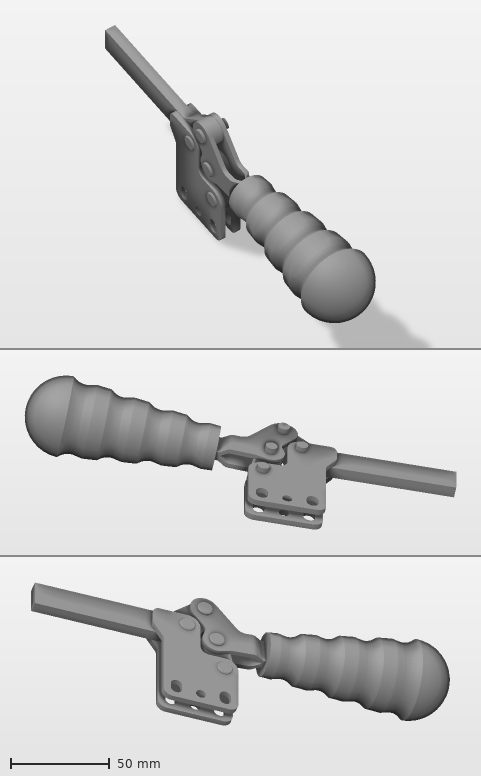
import math

import cadquery as cq


BAR_PIVOT = (-7.2, 53.3)
TOP_PIVOT = (2.2, 67.8)
LEVER_PIVOT = (8.6, 47.8)
BASE_PIVOT = (12.7, 28.4)

GAP_HALF = 3.0
BASE_OUTER = 6.0
LEVER_OUTER = 5.5
HEAD_TIP = 7.0
PIN_TIP = 9.1

BASE_HALF_LENGTH = 20.0
BASE_CORNER_RADIUS = 5.0
BASE_TOP_RADIUS = 7.0
BASE_NOTCH_RADIUS = 4.5
BASE_FRONT_X = -25.5
BASE_FRONT_RADIUS = 3.5
BASE_BEND_RADIUS = 3.0
BASE_UPPER_BEND_Z = 50.2
BASE_LOWER_BEND_Z = 39.9
SLOT_X = 13.0
SLOT_Z = 7.6
SLOT_LENGTH = 8.6
SLOT_WIDTH = 6.0
HOLE_Z = 6.2
HOLE_DIAMETER = 5.2

BAR_TIP_X = -87.47
BAR_HALF_HEIGHT = 7.35
BAR_TOP_RADIUS = 7.4
GUSSET_FILLET = 5.0
GUSSET_FILLET_X = -18.9
LINK_RADIUS = 7.0

PIN_DIAMETER = 6.0
HEAD_DIAMETER = 8.2
HEAD_CHAMFER = 0.5

BALL_RADIUS = 20.92
BALL_CENTRE_X = 112.6
BALL_CENTRE_Z = 58.09
HANDLE_TILT = 5.0
RING_COUNT = 4
RING_PITCH = 20.0
RING_GROWTH = 2.4
HANDLE_START_U = -77.6
HANDLE_START_RADIUS = 11.4
FIRST_CREST_U = -72.0
FIRST_CREST_RADIUS = 11.8
CREST_TO_FLANK = 5.0
FLANK_DROP = 1.0
CREST_TO_VALLEY = 8.0
VALLEY_DROP = 0.7
CREST_TO_LIP = 11.5
LIP_START_RISE = 1.1
LIP_WIDTH = 1.0
LIP_END_RISE = 1.75
CREST_WIDTH = 0.8
CREST_ROUNDING = 0.05

LEVER_TOP_RADIUS = 7.75
LEVER_PIVOT_RADIUS = 7.45
LEVER_FRONT_FILLET = 4.0
LEVER_FRONT_FILLET_CENTRE = (-1.4, 53.7)
LEVER_LOWER_FILLET = 5.0
LEVER_LOWER_FILLET_U = -97.0
LEVER_UPPER_FILLET = 6.0
LEVER_UPPER_FILLET_U = -88.0
NECK_HALF_HEIGHT = 7.0
BEND_START_U = -85.2
BEND_MID_U = -82.5
BEND_MID_INSET = 0.9
BEND_END_U = -79.3
NECK_END_U = HANDLE_START_U + 1.0


def outline(circles, depth_from, depth_to):
    """Solid between two Y positions; its outline runs counter-clockwise around
    circles (x, z, radius) joined by tangent lines.

    A positive radius rounds an outside corner, a negative one an inside corner,
    and zero leaves a sharp corner.
    """
    count = len(circles)
    normals = []
    for i in range(count):
        x1, z1, r1 = circles[i]
        x2, z2, r2 = circles[(i + 1) % count]
        length = math.hypot(x2 - x1, z2 - z1)
        normals.append(math.atan2(z2 - z1, x2 - x1) + math.acos((r2 - r1) / length))

    def point(circle, normal):
        x, z, radius = circle
        return (x - radius * math.cos(normal), z - radius * math.sin(normal))

    sketch = cq.Workplane("XZ", origin=(0, depth_to, 0))
    sketch = sketch.moveTo(*point(circles[0], normals[0]))
    for i in range(1, count + 1):
        circle = circles[i % count]
        arrive = normals[i - 1]
        leave = normals[i % count]
        sketch = sketch.lineTo(*point(circle, arrive))
        radius = circle[2]
        if radius != 0:
            sense = math.copysign(1, radius)
            turn = sense * ((sense * (leave - arrive)) % (2 * math.pi))
            sketch = sketch.threePointArc(point(circle, arrive + turn / 2), point(circle, leave))
    return sketch.close().extrude(depth_to - depth_from)


def from_handle_frame(u, v):
    """X and Z of a point given along (u) and across (v) the handle axis."""
    tilt = math.radians(HANDLE_TILT)
    x = BALL_CENTRE_X + u * math.cos(tilt) - v * math.sin(tilt)
    z = BALL_CENTRE_Z + u * math.sin(tilt) + v * math.cos(tilt)
    return x, z


def place_in_clamp(handle_shape):
    """Move a shape from the handle's frame to its tilted place in the clamp."""
    tilted = handle_shape.rotate((0, 0, 0), (0, 1, 0), -HANDLE_TILT)
    return tilted.translate((BALL_CENTRE_X, 0, BALL_CENTRE_Z))


def make_base():
    """Two identical plates with mounting slots and a round hole."""
    corner_x = BASE_HALF_LENGTH - BASE_CORNER_RADIUS
    pivot_radius = BASE_HALF_LENGTH - BASE_PIVOT[0]
    notch_x = BAR_PIVOT[0] + BASE_TOP_RADIUS + BASE_NOTCH_RADIUS
    notch_z = BASE_PIVOT[1] + pivot_radius + BASE_NOTCH_RADIUS
    top_z = BAR_PIVOT[1] + BASE_TOP_RADIUS
    circles = [
        (-corner_x, BASE_CORNER_RADIUS, BASE_CORNER_RADIUS),
        (corner_x, BASE_CORNER_RADIUS, BASE_CORNER_RADIUS),
        (*BASE_PIVOT, pivot_radius),
        (notch_x, notch_z, -BASE_NOTCH_RADIUS),
        (*BAR_PIVOT, BASE_TOP_RADIUS),
        (BASE_FRONT_X + BASE_FRONT_RADIUS, top_z - BASE_FRONT_RADIUS, BASE_FRONT_RADIUS),
        (BASE_FRONT_X + BASE_BEND_RADIUS, BASE_UPPER_BEND_Z, BASE_BEND_RADIUS),
        (-BASE_HALF_LENGTH - BASE_BEND_RADIUS, BASE_LOWER_BEND_Z, -BASE_BEND_RADIUS),
    ]
    front = outline(circles, -BASE_OUTER, -GAP_HALF)
    back = outline(circles, GAP_HALF, BASE_OUTER)
    through = cq.Workplane("XZ", origin=(0, BASE_OUTER, 0))
    slots = (
        through.pushPoints([(-SLOT_X, SLOT_Z), (SLOT_X, SLOT_Z)])
        .slot2D(SLOT_LENGTH, SLOT_WIDTH, 90)
        .extrude(2 * BASE_OUTER)
    )
    hole = through.center(0, HOLE_Z).circle(HOLE_DIAMETER / 2).extrude(2 * BASE_OUTER)
    return front.union(back).cut(slots).cut(hole)


def make_bar():
    """Clamping bar with a gusset rising to the top pivot."""
    bottom_z = BAR_PIVOT[1] - BAR_HALF_HEIGHT
    top_z = BAR_PIVOT[1] + BAR_HALF_HEIGHT
    circles = [
        (BAR_TIP_X, bottom_z, 0),
        (*BAR_PIVOT, BAR_HALF_HEIGHT),
        (*TOP_PIVOT, BAR_TOP_RADIUS),
        (GUSSET_FILLET_X, top_z + GUSSET_FILLET, -GUSSET_FILLET),
        (BAR_TIP_X, top_z, 0),
    ]
    return outline(circles, -GAP_HALF, GAP_HALF)


def make_link():
    """Link between the base and the lever."""
    return outline([(*BASE_PIVOT, LINK_RADIUS), (*LEVER_PIVOT, LINK_RADIUS)], -GAP_HALF, GAP_HALF)


def make_lever():
    """Two side plates that bend together into a flat neck inside the handle."""
    lower_fillet_v = -NECK_HALF_HEIGHT - LEVER_LOWER_FILLET
    upper_fillet_v = NECK_HALF_HEIGHT + LEVER_UPPER_FILLET
    circles = [
        (*LEVER_PIVOT, LEVER_PIVOT_RADIUS),
        (*from_handle_frame(LEVER_LOWER_FILLET_U, lower_fillet_v), -LEVER_LOWER_FILLET),
        (*from_handle_frame(NECK_END_U, -NECK_HALF_HEIGHT), 0),
        (*from_handle_frame(NECK_END_U, NECK_HALF_HEIGHT), 0),
        (*from_handle_frame(LEVER_UPPER_FILLET_U, upper_fillet_v), -LEVER_UPPER_FILLET),
        (*TOP_PIVOT, LEVER_TOP_RADIUS),
        (*LEVER_FRONT_FILLET_CENTRE, -LEVER_FRONT_FILLET),
    ]
    profile = outline(circles, -LEVER_OUTER, LEVER_OUTER)

    thickness = LEVER_OUTER - GAP_HALF
    far_u = BAR_TIP_X - BALL_CENTRE_X
    plan_height = 4 * BALL_RADIUS
    plan = cq.Workplane("XY", origin=(0, 0, -plan_height / 2))
    envelope = (
        plan.moveTo(far_u, -LEVER_OUTER)
        .lineTo(BEND_START_U, -LEVER_OUTER)
        .tangentArcPoint((BEND_MID_U, -LEVER_OUTER + BEND_MID_INSET), relative=False)
        .lineTo(BEND_END_U, -thickness)
        .lineTo(NECK_END_U, -thickness)
        .lineTo(NECK_END_U, 0)
        .lineTo(far_u, 0)
        .close()
        .extrude(plan_height)
    )
    gap = (
        plan.moveTo(far_u, -GAP_HALF)
        .lineTo(BEND_START_U, -GAP_HALF)
        .tangentArcPoint((BEND_MID_U, -GAP_HALF + BEND_MID_INSET), relative=False)
        .lineTo(BEND_END_U, 0)
        .lineTo(far_u, 0)
        .close()
        .extrude(plan_height)
    )
    side_plate = envelope.cut(gap)
    plates = side_plate.union(side_plate.mirror("XZ"))
    return profile.intersect(place_in_clamp(plates))


def make_handle():
    """Ringed grip turned about the handle axis, ending in a ball."""
    profile = cq.Workplane("XZ").moveTo(HANDLE_START_U, 0)
    profile = profile.lineTo(HANDLE_START_U, HANDLE_START_RADIUS)
    for ring in range(RING_COUNT):
        crest_u = FIRST_CREST_U + ring * RING_PITCH
        crest_radius = FIRST_CREST_RADIUS + ring * RING_GROWTH
        lip_u = crest_u + CREST_TO_LIP
        profile = (
            profile.lineTo(crest_u - CREST_WIDTH, crest_radius - CREST_ROUNDING)
            .lineTo(crest_u, crest_radius)
            .lineTo(crest_u + CREST_TO_FLANK, crest_radius - FLANK_DROP)
            .threePointArc(
                (crest_u + CREST_TO_VALLEY, crest_radius - VALLEY_DROP),
                (lip_u, crest_radius + LIP_START_RISE),
            )
        )
        if ring < RING_COUNT - 1:
            profile = profile.lineTo(lip_u + LIP_WIDTH, crest_radius + LIP_END_RISE)
    ball_start_u = lip_u + LIP_WIDTH
    ball_start = (ball_start_u, math.sqrt(BALL_RADIUS**2 - ball_start_u**2))
    mid_arc = BALL_RADIUS * math.sqrt(0.5)
    profile = (
        profile.lineTo(*ball_start)
        .threePointArc((mid_arc, mid_arc), (BALL_RADIUS, 0))
        .close()
    )
    return place_in_clamp(profile.revolve(360, (0, 0, 0), (1, 0, 0)))


def make_rivet(centre):
    """Pin along Y with a chamfered head on the -Y side."""
    x, z = centre
    pin = cq.Workplane("XZ", origin=(x, PIN_TIP, z)).circle(PIN_DIAMETER / 2).extrude(PIN_TIP + GAP_HALF)
    head = (
        cq.Workplane("XZ", origin=(x, -GAP_HALF, z))
        .circle(HEAD_DIAMETER / 2)
        .extrude(HEAD_TIP - GAP_HALF)
        .faces("<Y")
        .chamfer(HEAD_CHAMFER)
    )
    return pin.union(head)


clamp = make_base().union(make_bar()).union(make_link()).union(make_lever()).union(make_handle())
for pivot in (BAR_PIVOT, TOP_PIVOT, LEVER_PIVOT, BASE_PIVOT):
    clamp = clamp.union(make_rivet(pivot))

result = clamp